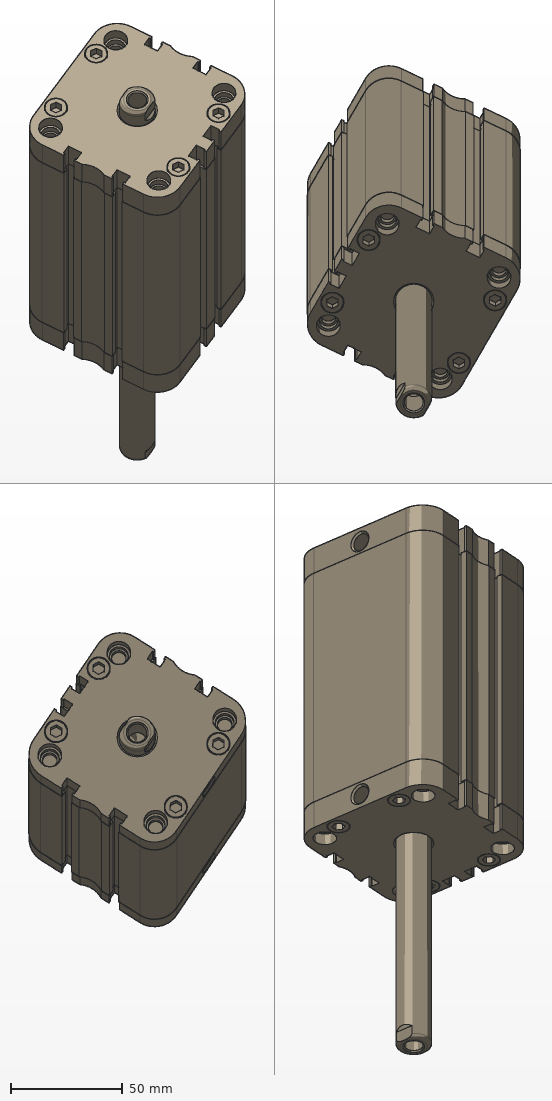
import cadquery as cq
import math


rod_length = 265.0
side = 77.0
half_side = side / 2
cap_side = 76.8
corner_radius = 12.0
body_bottom = 108.0
body_length = 148.7
cap_height = 13.5
body_top = body_bottom + body_length
tube_bottom = body_bottom + cap_height
tube_length = body_length - 2 * cap_height

tube_mouth_width = 5.0
cap_mouth_width = 5.5
slot_width = 7.0
slot_depth = 5.5
y_slot_offset = 12.7
x_slot_offset = 6.4
cap_lip = 1.3
tube_lip = 3.0
cap_x_slot_depth = 5.8
tube_x_slot_depth = 4.5
tube_x_lip = 2.0
hollow_width = 12.0
hollow_depth = 1.5

rod_diameter = 16.2
rod_end_fillet = 2.0
flat_distance = 13.5
flat_length = 6.0
rod_thread_diameter = 8.5
rod_thread_mouth = 9.8
rod_thread_depth = 16.0
rod_thread_tip_angle = 120.0
rod_passage_diameter = 16.5
rod_passage_mouth = 18.0

corner_hole_offset = 28.4
corner_hole_steps = [(10.5, 5.5), (8.5, 8.7), (6.5, 12.0)]

screw_x = 32.0
screw_y = 17.5
screw_diameter = 9.8
screw_bore = 10.3
screw_gap_depth = 1.3
socket_diameter = 5.8
socket_depth = 4.0

port_diameter = 8.5
port_mouth = 10.5
port_depth = 10.5
port_from_end = 7.2


def block(height, side):
    """Rounded square block that stands on Z = 0."""
    return cq.Workplane("XY").rect(side, side).extrude(height).edges("|Z").fillet(corner_radius)


def t_slot(height, depth, lip, mouth_width, left_reach, right_reach):
    """T-slot in the +Y face at X = 0; its wide part reaches from -left_reach to right_reach."""
    mouth = cq.Workplane("XY").box(mouth_width, depth, height, centered=(True, False, False))
    undercut = (
        cq.Workplane("XY")
        .box(left_reach + right_reach, depth - lip, height, centered=False)
        .translate((-left_reach, 0, 0))
    )
    return mouth.union(undercut).translate((0, half_side - depth, 0))


def cut_y_sides(body, height, lip, mouth_width):
    """Cut two T-slots and a shallow round hollow along the +Y and -Y sides."""
    slot = t_slot(height, slot_depth, lip, mouth_width, slot_width / 2, slot_width / 2)
    hollow_radius = ((hollow_width / 2) ** 2 + hollow_depth**2) / (2 * hollow_depth)
    hollow = (
        cq.Workplane("XY")
        .center(0, half_side - hollow_depth + hollow_radius)
        .circle(hollow_radius)
        .extrude(height)
    )
    for turn in (0, 180):
        for x in (-y_slot_offset, y_slot_offset):
            body = body.cut(slot.translate((x, 0, 0)).rotate((0, 0, 0), (0, 0, 1), turn))
        body = body.cut(hollow.rotate((0, 0, 0), (0, 0, 1), turn))
    return body


def cut_x_side(body, slot):
    """Cut a slot and its mirror image into the +X side."""
    upper = slot.rotate((0, 0, 0), (0, 0, 1), -90).translate((0, x_slot_offset, 0))
    return body.cut(upper).cut(upper.mirror("XZ"))


def countersink(mouth, diameter):
    """Cone that widens a hole at Z = 0 to the mouth diameter, pointing down."""
    return cq.Workplane("XY").add(
        cq.Solid.makeCone(mouth / 2, diameter / 2, (mouth - diameter) / 2, dir=cq.Vector(0, 0, -1))
    )


def blind_hole(diameter, depth):
    """Cylinder that reaches down from Z = 0."""
    return cq.Workplane("XY").circle(diameter / 2).extrude(-depth)


def make_tube():
    tube = cut_y_sides(block(tube_length, side), tube_length, tube_lip, tube_mouth_width)
    slot = t_slot(
        tube_length,
        tube_x_slot_depth,
        tube_x_lip,
        tube_mouth_width,
        slot_width / 2,
        tube_mouth_width / 2,
    )
    tube = cut_x_side(tube, slot)
    tube = tube.cut(cq.Workplane("XY").circle(rod_diameter / 2).extrude(tube_length))
    return tube.translate((0, 0, tube_bottom))


def make_cap():
    """Cap with its inner face on Z = 0 and its outer face up."""
    cap = cut_y_sides(block(cap_height, cap_side), cap_height, cap_lip, cap_mouth_width)
    slot = t_slot(
        cap_height,
        cap_x_slot_depth,
        cap_lip,
        cap_mouth_width,
        slot_width / 2,
        slot_width / 2,
    )
    cap = cut_x_side(cap, slot)

    cap = cap.cut(cq.Workplane("XY").circle(rod_passage_diameter / 2).extrude(cap_height))
    passage_mouth = countersink(rod_passage_mouth, rod_passage_diameter)
    cap = cap.cut(passage_mouth.translate((0, 0, cap_height)))

    corner_hole = cq.Workplane("XY")
    for diameter, depth in corner_hole_steps:
        corner_hole = corner_hole.union(blind_hole(diameter, depth))
    for x in (-corner_hole_offset, corner_hole_offset):
        for y in (-corner_hole_offset, corner_hole_offset):
            cap = cap.cut(corner_hole.translate((x, y, cap_height)))

    screw = blind_hole(screw_bore, screw_gap_depth).cut(blind_hole(screw_diameter, screw_gap_depth))
    screw = screw.union(cq.Workplane("XY").polygon(6, socket_diameter).extrude(-socket_depth))
    for x in (-screw_x, screw_x):
        for y in (-screw_y, screw_y):
            cap = cap.cut(screw.translate((x, y, cap_height)))

    port = blind_hole(port_diameter, port_depth).union(countersink(port_mouth, port_diameter))
    port = port.rotate((0, 0, 0), (0, 1, 0), -90)
    return cap.cut(port.translate((-half_side, 0, cap_height - port_from_end)))


def cut_rod_end(rod):
    """Cut the wrench flats and the threaded hole into the top end of the rod."""
    radius = rod_diameter / 2
    run_out = radius - flat_distance / 2
    flat = (
        cq.Workplane("XZ")
        .moveTo(flat_distance / 2, rod_length)
        .lineTo(flat_distance / 2, rod_length - flat_length)
        .lineTo(radius, rod_length - flat_length - run_out)
        .lineTo(radius, rod_length)
        .close()
        .extrude(radius, both=True)
    )
    tip_height = rod_thread_diameter / 2 / math.tan(math.radians(rod_thread_tip_angle / 2))
    tip = cq.Workplane("XY").add(
        cq.Solid.makeCone(
            rod_thread_diameter / 2,
            0,
            tip_height,
            pnt=cq.Vector(0, 0, -rod_thread_depth),
            dir=cq.Vector(0, 0, -1),
        )
    )
    thread = blind_hole(rod_thread_diameter, rod_thread_depth).union(tip)
    thread = thread.union(countersink(rod_thread_mouth, rod_thread_diameter))
    rod = rod.cut(flat).cut(flat.mirror("YZ"))
    return rod.cut(thread.translate((0, 0, rod_length)))


def make_rod():
    rod = cq.Workplane("XY").circle(rod_diameter / 2).extrude(rod_length)
    rod = rod.faces("<Z or >Z").edges().fillet(rod_end_fillet)
    middle = (0, 0, rod_length / 2)
    for _ in range(2):
        rod = cut_rod_end(rod).rotate(middle, (1, 0, rod_length / 2), 180)
    return rod


tube = make_tube()
cap = make_cap()
top_cap = cap.translate((0, 0, body_top - cap_height))
bottom_cap = cap.mirror("XY").translate((0, 0, tube_bottom))
rod = make_rod()

result = cq.Compound.makeCompound([tube.val(), top_cap.val(), bottom_cap.val(), rod.val()])